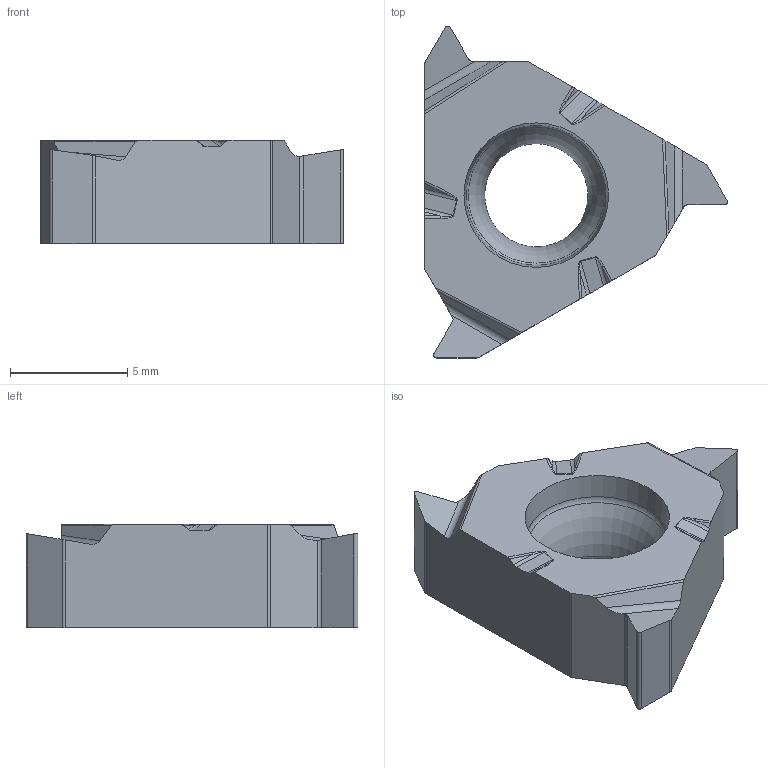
import cadquery as cq
import math

TEETH = 3
THICKNESS = 4.39
FACE_DISTANCE = 4.76

SHOULDER_Y = 5.69
FLANK_ANGLE = 60
LONG_FLANK_OFFSET = 6.93
SHORT_FLANK_OFFSET = 0.40
NOSE_RADIUS = 0.123
CORNER_RADIUS = 0.25
ROOT_RADIUS = 0.2

HOLE_RADIUS = 4.4 / 2
RIM_RADIUS = 3.08
COUNTERBORE_RADIUS = 2.99
COUNTERBORE_DEPTH = 1.04
SEAT_RADIUS = 2.90
SEAT_DEPTH = 1.29
HOLE_DEPTH = 3.57
BLEND_RADIUS = 0.5

NOSE_X = 8.14
NOSE_Y = -SHORT_FLANK_OFFSET
NOSE_Z = 4.01
RAKE_ANGLE = 9
SIDE_RAKE_ANGLE = 4
WALL_ANGLE = 58
FLOOR_END_X = 6.24
GROOVE_RADIUS = 0.35
GROOVE_EDGE_RADIUS = 0.12
GROOVE_HALF_LENGTH = 6.0
CLEARANCE = 1.0

NOTCH_Y = -0.22
NOTCH_TURN = -14
NOTCH_LENGTH = 1.34
NOTCH_MOUTH_DEPTH = 0.26
NOTCH_FLOOR_HALF_WIDTH = 0.41
NOTCH_SIDE_ANGLE = 40
NOTCH_RADIUS = 0.25
NOTCH_EDGE_RADIUS = 0.15


def rotated(point, angle):
    """Turn a point about the hole axis by an angle in degrees."""
    a = math.radians(angle)
    x, y = point
    return (x * math.cos(a) - y * math.sin(a), x * math.sin(a) + y * math.cos(a))


def tooth_angles():
    return [i * 360 / TEETH for i in range(TEETH)]


def tooth_corners():
    """Sharp corners of the +Y tooth, counterclockwise: shoulder, root, nose, side."""
    sin_f = math.sin(math.radians(FLANK_ANGLE))
    cos_f = math.cos(math.radians(FLANK_ANGLE))
    shoulder = ((FACE_DISTANCE - SHOULDER_Y * sin_f) / cos_f, SHOULDER_Y)
    root = ((SHORT_FLANK_OFFSET - SHOULDER_Y * cos_f) / sin_f, SHOULDER_Y)
    nose = (
        (SHORT_FLANK_OFFSET - LONG_FLANK_OFFSET) / (2 * sin_f),
        (SHORT_FLANK_OFFSET + LONG_FLANK_OFFSET) / (2 * cos_f),
    )
    side = (-FACE_DISTANCE, (LONG_FLANK_OFFSET - FACE_DISTANCE * sin_f) / cos_f)
    return [shoulder, root, nose, side]


def make_blank():
    """Extruded three-tooth outline with its upright corners rounded."""
    corners = tooth_corners()
    outline = [rotated(p, a) for a in tooth_angles() for p in corners]
    blank = cq.Workplane("XY").polyline(outline).close().extrude(THICKNESS)
    radii = [CORNER_RADIUS, ROOT_RADIUS, NOSE_RADIUS, CORNER_RADIUS]
    for angle in tooth_angles():
        for corner, radius in zip(corners, radii):
            x, y = rotated(corner, angle)
            upright = cq.selectors.NearestToPointSelector((x, y, THICKNESS / 2))
            blank = blank.edges("|Z").edges(upright).fillet(radius)
    return blank


def arc_midpoint(start, end, radius, bulge):
    """Middle point of an arc; bulge is the unit side (+1 left, -1 right) it bows to."""
    dx = end[0] - start[0]
    dy = end[1] - start[1]
    chord = math.hypot(dx, dy)
    sagitta = radius - math.sqrt(radius**2 - (chord / 2) ** 2)
    x = (start[0] + end[0]) / 2 - bulge * sagitta * dy / chord
    y = (start[1] + end[1]) / 2 + bulge * sagitta * dx / chord
    return (x, y)


def make_screw_hole():
    """Tapered counterbore, hollow blend and a rounded seat that runs into the hole."""
    rim = (RIM_RADIUS, THICKNESS)
    counterbore_end = (COUNTERBORE_RADIUS, THICKNESS - COUNTERBORE_DEPTH)
    seat_start = (SEAT_RADIUS, THICKNESS - SEAT_DEPTH)
    seat_end = (HOLE_RADIUS, THICKNESS - HOLE_DEPTH)
    seat_width = SEAT_RADIUS - HOLE_RADIUS
    seat_height = HOLE_DEPTH - SEAT_DEPTH
    seat_arc_radius = (seat_width**2 + seat_height**2) / (2 * seat_width)
    profile = (
        cq.Workplane("XZ")
        .moveTo(0, THICKNESS)
        .lineTo(*rim)
        .lineTo(*counterbore_end)
        .threePointArc(arc_midpoint(counterbore_end, seat_start, BLEND_RADIUS, 1), seat_start)
        .threePointArc(arc_midpoint(seat_start, seat_end, seat_arc_radius, -1), seat_end)
        .lineTo(HOLE_RADIUS, 0)
        .lineTo(0, 0)
        .close()
    )
    return profile.revolve(360, (0, 0, 0), (0, 1, 0))


def make_groove():
    """Cutter for the chip groove of the +X tooth: raked floor, radius and steep wall."""
    rake = math.radians(RAKE_ANGLE)
    wall = math.radians(WALL_ANGLE)
    mid = (wall - rake) / 2
    floor_end = (FLOOR_END_X, NOSE_Z - (NOSE_X - FLOOR_END_X) * math.tan(rake))
    centre = (
        floor_end[0] - GROOVE_RADIUS * math.sin(rake),
        floor_end[1] + GROOVE_RADIUS * math.cos(rake),
    )

    def on_radius(angle):
        x = centre[0] - GROOVE_RADIUS * math.sin(angle)
        z = centre[1] - GROOVE_RADIUS * math.cos(angle)
        return (x, z)

    wall_end = on_radius(wall)
    top = THICKNESS + CLEARANCE
    wall_top = (wall_end[0] - (top - wall_end[1]) / math.tan(wall), top)
    outer_x = NOSE_X + CLEARANCE
    outer_z = NOSE_Z + CLEARANCE * math.tan(rake)
    cutter = (
        cq.Workplane("XZ", origin=(0, NOSE_Y, 0))
        .moveTo(*wall_top)
        .lineTo(*wall_end)
        .threePointArc(on_radius(mid), floor_end)
        .lineTo(outer_x, outer_z)
        .lineTo(outer_x, top)
        .close()
        .extrude(GROOVE_HALF_LENGTH, both=True)
    )
    pivot = (0, NOSE_Y, NOSE_Z)
    return cutter.rotate(pivot, (1, NOSE_Y, NOSE_Z), -SIDE_RAKE_ANGLE)


def round_groove_edges(body):
    """Round the edge where each groove wall meets the top face."""
    rise = THICKNESS - NOSE_Z
    edge_x = FLOOR_END_X - GROOVE_RADIUS - rise / math.tan(math.radians(WALL_ANGLE))
    for angle in tooth_angles():
        x, y = rotated((edge_x, 0), angle)
        wall_edge = cq.selectors.NearestToPointSelector((x, y, THICKNESS))
        body = body.faces(">Z").edges(wall_edge).fillet(GROOVE_EDGE_RADIUS)
    return body


def make_notch():
    """Cutter for one index notch: a trough whose floor rises inwards until it meets the top face."""
    slope = math.degrees(math.atan(NOTCH_MOUTH_DEPTH / NOTCH_LENGTH))
    spread = CLEARANCE / math.tan(math.radians(NOTCH_SIDE_ANGLE))
    top_half_width = NOTCH_FLOOR_HALF_WIDTH + spread
    section = [
        (-NOTCH_FLOOR_HALF_WIDTH, 0),
        (NOTCH_FLOOR_HALF_WIDTH, 0),
        (top_half_width, CLEARANCE),
        (-top_half_width, CLEARANCE),
    ]
    trough = (
        cq.Workplane("YZ")
        .polyline(section)
        .close()
        .extrude(NOTCH_LENGTH + CLEARANCE, both=True)
        .edges("|X and <Z")
        .fillet(NOTCH_RADIUS)
        .rotate((0, 0, 0), (0, 1, 0), -slope)
    )
    return (
        trough.translate((NOTCH_LENGTH, 0, THICKNESS))
        .rotate((0, 0, 0), (0, 0, 1), NOTCH_TURN)
        .translate((-FACE_DISTANCE, NOTCH_Y, 0))
    )


def round_notch_edges(body):
    """Round the rim of each notch; the fillet follows the smooth chain from its inner end."""
    inner_x, inner_y = rotated((NOTCH_LENGTH, 0), NOTCH_TURN)
    for angle in tooth_angles():
        x, y = rotated((inner_x - FACE_DISTANCE, inner_y + NOTCH_Y), angle)
        inner_edge = cq.selectors.NearestToPointSelector((x, y, THICKNESS))
        body = body.faces(">Z").edges(inner_edge).fillet(NOTCH_EDGE_RADIUS)
    return body


def cut_around(body, cutter):
    """Cut the same shape at every tooth position."""
    for angle in tooth_angles():
        body = body.cut(cutter.rotate((0, 0, 0), (0, 0, 1), angle))
    return body


insert = make_blank().cut(make_screw_hole())
insert = cut_around(insert, make_groove())
insert = round_groove_edges(insert)
insert = cut_around(insert, make_notch())
result = round_notch_edges(insert)